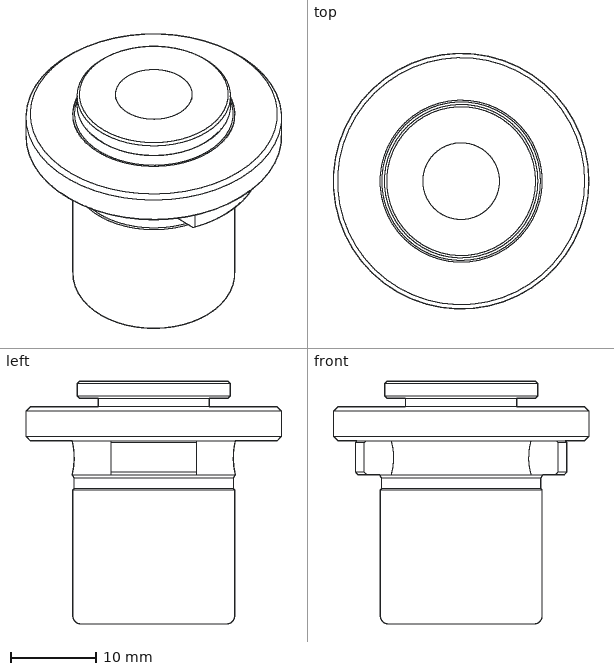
import cadquery as cq
import math

total_height = 28.5
head_thickness = 2.0
head_gap = 1.0
flange_thickness = 4.0
lug_height = 4.0
head_bottom = total_height - head_thickness
flange_top = head_bottom - head_gap
flange_bottom = flange_top - flange_thickness
lug_bottom = flange_bottom - lug_height
waist_height = (flange_bottom + lug_bottom) / 2
collar_drop = 0.4
undercut_top = lug_bottom - collar_drop
barrel_top = 15.75

flange_radius = 15.0
head_radius = 9.0
stem_radius = 6.55
barrel_radius = 9.5
collar_radius = 9.6
waist_radius = 9.35
undercut_radius = 9.35
bore_radius = 4.5
lug_radius = 12.42

lug_width = 10.0
bore_depth = 24.0
barrel_fillet = 1.0
flange_chamfer = 0.5
head_chamfer = 0.27
barrel_chamfer = barrel_radius - undercut_radius
lug_top_chamfer = 0.2
lug_bottom_chamfer = 0.3
seam_width = 0.2


def disc(radius, bottom, top, chamfer):
    """Round disc with both rims chamfered."""
    blank = cq.Workplane("XY").workplane(offset=bottom).circle(radius).extrude(top - bottom)
    return blank.edges().chamfer(chamfer)


def make_barrel():
    """Revolved barrel, undercut and concave collar below the flange."""
    fillet_mid_radius = barrel_radius - barrel_fillet * (1 - math.sqrt(0.5))
    fillet_mid_height = barrel_fillet * (1 - math.sqrt(0.5))
    return (
        cq.Workplane("XZ")
        .lineTo(barrel_radius - barrel_fillet, 0)
        .threePointArc((fillet_mid_radius, fillet_mid_height), (barrel_radius, barrel_fillet))
        .lineTo(barrel_radius, barrel_top)
        .lineTo(undercut_radius, barrel_top + barrel_chamfer)
        .lineTo(undercut_radius, undercut_top)
        .lineTo(collar_radius, lug_bottom)
        .threePointArc((waist_radius, waist_height), (collar_radius, flange_bottom))
        .lineTo(0, flange_bottom)
        .close()
        .revolve(360, (0, 0), (0, 1))
    )


def make_lugs():
    """Two opposite lugs along X with round, chamfered ends."""
    base = cq.Workplane("XY").workplane(offset=lug_bottom)
    round_blank = (
        base.circle(lug_radius)
        .extrude(lug_height)
        .faces(">Z").chamfer(lug_top_chamfer)
        .faces("<Z").chamfer(lug_bottom_chamfer)
    )
    bar = base.rect(2 * lug_radius, lug_width).extrude(lug_height)
    return round_blank.intersect(bar)


def make_seam():
    """Ring cutter: straight outer wall, inner wall sloping up and inward."""
    return (
        cq.Workplane("XZ")
        .moveTo(barrel_radius, flange_top)
        .lineTo(barrel_radius, flange_top - seam_width)
        .lineTo(barrel_radius - seam_width, flange_top)
        .close()
        .revolve(360, (0, 0), (0, 1))
    )


flange = disc(flange_radius, flange_bottom, flange_top, flange_chamfer).cut(make_seam())
head = disc(head_radius, head_bottom, total_height, head_chamfer)
stem = cq.Workplane("XY").workplane(offset=flange_top).circle(stem_radius).extrude(head_gap)
bore = cq.Workplane("XY").workplane(offset=total_height).circle(bore_radius).extrude(-bore_depth)

result = make_barrel().union(make_lugs()).union(flange).union(stem).union(head).cut(bore)